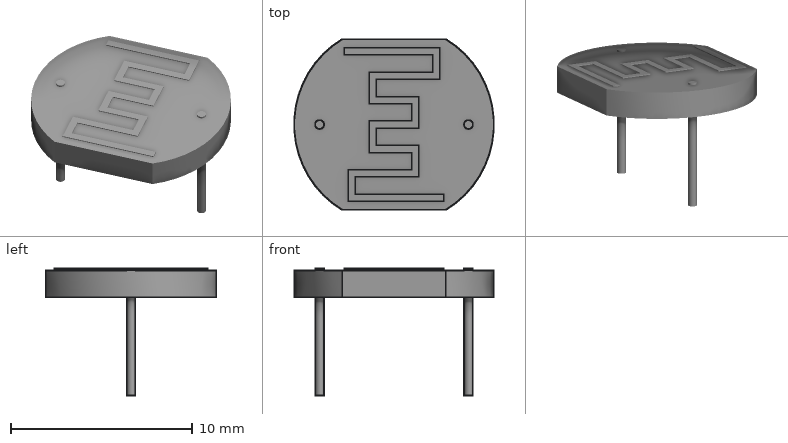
import cadquery as cq

disc_diameter = 11
flats_width = 9.4
disc_thickness = 1.5

overall_height = 7.0
pin_diameter = 0.5
pin_spacing = 8.2
pin_protrusion = 0.1
pin_top = disc_thickness + pin_protrusion
pin_bottom = pin_top - overall_height

track_width = 0.4
track_thickness = 0.05
row_pitch = 1.34
row_count = 7
outer_turn_x = 2.33
inner_turn_x = 1.18
track_end_x = 2.75
end_center_x = track_end_x - track_width / 2


def make_sensor_body():
    """Flatted disc with both lead pins passing through it, as one solid."""
    disc = cq.Workplane("XY").circle(disc_diameter / 2).extrude(disc_thickness)
    flats = cq.Workplane("XY").rect(disc_diameter, flats_width).extrude(disc_thickness)
    pins = (
        cq.Workplane("XY", origin=(0, 0, pin_bottom))
        .pushPoints([(-pin_spacing / 2, 0), (pin_spacing / 2, 0)])
        .circle(pin_diameter / 2)
        .extrude(overall_height)
    )
    return disc.intersect(flats).union(pins)


def track_centerline():
    """Corners of the meander, from the +Y row to the -Y row."""
    turns_x = [
        -end_center_x,
        outer_turn_x,
        -inner_turn_x,
        inner_turn_x,
        -inner_turn_x,
        inner_turn_x,
        -outer_turn_x,
        end_center_x,
    ]
    first_row_y = row_pitch * (row_count - 1) / 2
    corners = []
    for row in range(row_count):
        y = first_row_y - row * row_pitch
        corners.append((turns_x[row], y))
        corners.append((turns_x[row + 1], y))
    return corners


def make_track_segment(start, end):
    """Straight strip reaching half a track width beyond both end points."""
    center = ((start[0] + end[0]) / 2, (start[1] + end[1]) / 2)
    length_x = abs(end[0] - start[0]) + track_width
    length_y = abs(end[1] - start[1]) + track_width
    return (
        cq.Workplane("XY", origin=(0, 0, pin_top - track_thickness))
        .center(*center)
        .rect(length_x, length_y)
        .extrude(track_thickness)
    )


def make_track():
    """Overlapping strips joined into a single meander."""
    corners = track_centerline()
    track = cq.Workplane("XY")
    for start, end in zip(corners, corners[1:]):
        track = track.union(make_track_segment(start, end))
    return track.clean()


sensor_body = make_sensor_body()
track = make_track()

result = cq.Compound.makeCompound([sensor_body.solids().val(), track.solids().val()])